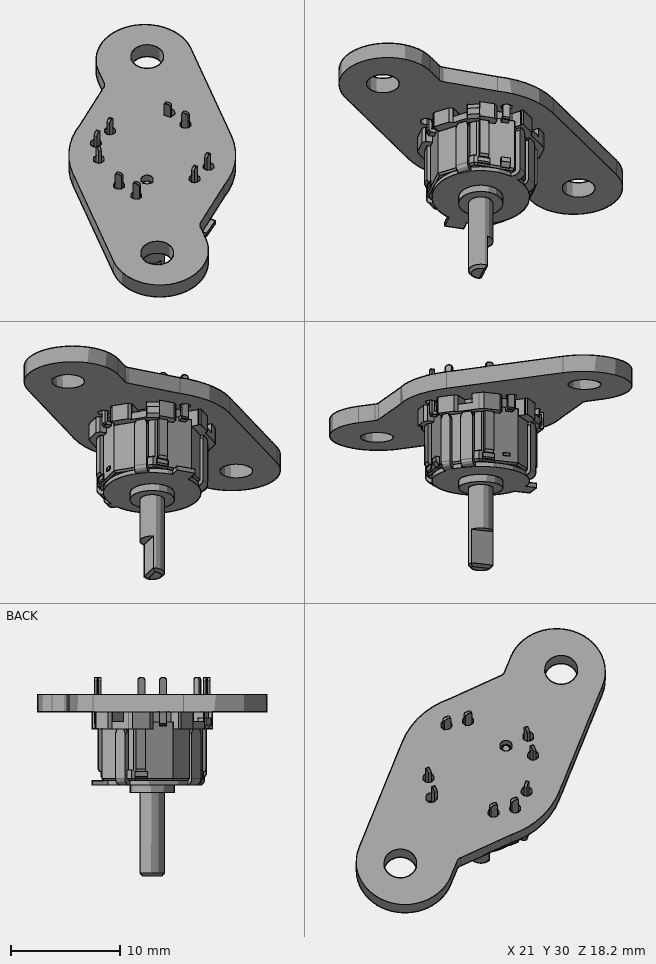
import cadquery as cq
import math


BOARD_WIDTH = 21
BOARD_THICKNESS = 1.6
EAR_X = 6.03
EAR_Y = 10.52
EAR_RADIUS = BOARD_WIDTH / 2 - EAR_X
BOARD_WAIST_RADIUS = (EAR_Y - EAR_X) / math.sqrt(2) + EAR_RADIUS
WAIST_ARC_END_ANGLE = 4
NECK_X = 7.82
NECK_FILLET = 0.6
MOUNT_HOLE_DIAMETER = 3
MOUNT_HOLE_X = 6
MOUNT_HOLE_Y = 10.97
PIN_HOLE_DIAMETER = 1.0
PEG_HOLE_DIAMETER = 1.1

PIN_TOP = 3.15
PIN_WIDTH = 0.65
PIN_THICKNESS = 0.27
PIN_TIP_FILLET = 0.27
PIN_ROOT = -1.3
PIN_ROOT_CHAMFER = 0.2
PIN_ALONG = 1.0
OUTER_PIN_OUT = 5.15
INNER_PIN_OUT = 4.83
GROUND_PIN_ALONG = -1.02
GROUND_PIN_OUT = 4.83
OUTER_HOLE_OUT = 5.28
REAR_HOLE_OUT = 5.5

PEG_X = 1.0
PEG_Y = -3.03
PEG_DIAMETER = 1.0
PEG_HEIGHT = 1.05
PEG_CHAMFER = 0.18

FLANGE_HEIGHT = 1.55
FLANGE_OUT = 5.25
PAD_OUT = 5.52
PAD_START = -1.8
PAD_END = -0.2
PAD_RAMP = 0.27
NOTCH_START = 0.1
NOTCH_END = 2.4
NOTCH_FLOOR_OUT = 4.35
NOTCH_FLOOR_END = 1.75
NOTCH_WALL_OUT = NOTCH_FLOOR_OUT + NOTCH_END - NOTCH_FLOOR_END
WINDOW_START = 0.1
WINDOW_END = 1.5
WINDOW_HEIGHT = 0.87
WINDOW_DEPTH = 1.5

CATCH_ANGLES = (67.5, 247.5)
CATCH_WIDTH = 1.17
CATCH_OUT = 5.58
CATCH_SEAT_OUT = 5.35
CATCH_IN = 4.8
CATCH_TOP = -0.57
CATCH_SLOPE_TOP = -1.23

BODY_OUT = 4.62
BODY_TOP = -0.93
BODY_BOTTOM = -6.3
BODY_CHAMFER = 0.18
BASE_RADIUS = 4.47
BASE_BOTTOM = -6.72

GROOVE_START = 1.38
GROOVE_END = 2.22
GROOVE_FLOOR_OUT = 4.47
GROOVE_BOTTOM = -5.3

STRIP_START = -1.47
STRIP_END = -0.6
STRIP_OUT = 4.95
STRIP_BOTTOM = -5.5
STRIP_TAPER_HEIGHT = 0.27
STRIP_TAPER_DEPTH = 0.12
FOOT_START = -1.55
FOOT_END = -0.42
FOOT_OUT = 4.7
FOOT_TOP = -5.5
FOOT_SLOPE_TOP = -5.9
LATCH_START = 0.6
LATCH_END = 1.47
LATCH_OUT = 4.95
LATCH_TOP = -5.3
LATCH_SLOPE_TOP = -5.75
LATCH_BOTTOM = -6.18
BUMP_START = 0.42
BUMP_END = 1.05
BUMP_OUT = 4.75
BUMP_TOP = -5.3
BUMP_BOTTOM = -5.58
SIDE_TAB_START = 0.1
SIDE_TAB_END = 1.9

STRAP_IN = 3.9
STRAP_BEND_RADIUS = 0.6
STRAP_SHOULDER = 0.35
CLAMP_START = 0.18
CLAMP_END = 1.38
CLAMP_OUT = 4.92
LUG_START = -1.68
LUG_END = -0.8
LUG_OUT = 5.1

BOSS_DIAMETER = 4.05
BOSS_BOTTOM = -7.4
SHAFT_DIAMETER = 2.25
SHAFT_BOTTOM = -15.05
SHAFT_CHAMFER = 0.27
FLAT_TOP = -11.57
FLAT_Y = -0.35

HALF_SIDE_ANGLE = 22.5

STRAIGHT_SIDES = (0, 90, 180, 270)
DIAGONAL_SIDES = (45, 135, 225, 315)
RIGHT_SIDE = 90
REAR_SIDE = 180
LEFT_SIDE = 270
GROUND_SIDE = 315


def turned(shape, angle):
    """Turn a shape made for the front side to another side of the switch."""
    return shape.rotate((0, 0, 0), (0, 0, 1), angle)


def side_point(along, out, angle):
    """Plan position of a point given in the frame of one side."""
    turn = math.radians(angle)
    x = along * math.cos(turn) + out * math.sin(turn)
    y = along * math.sin(turn) - out * math.cos(turn)
    return (x, y)


def cylinder(diameter, bottom, top):
    return cq.Workplane("XY", origin=(0, 0, bottom)).circle(diameter / 2).extrude(top - bottom)


def side_profile(start, end, out_z_points):
    """Extrude an (out, z) profile along the front side, from start to end."""
    points = [(-out, z) for out, z in out_z_points]
    return cq.Workplane("YZ", origin=(start, 0, 0)).polyline(points).close().extrude(end - start)


def side_block(start, end, inner, outer, bottom, top):
    return side_profile(start, end, [(inner, bottom), (outer, bottom), (outer, top), (inner, top)])



def make_flange():
    points = []
    for side in range(8):
        angle = side * 2 * HALF_SIDE_ANGLE
        points.append(side_point(PAD_START, PAD_OUT, angle))
        points.append(side_point(PAD_END, PAD_OUT, angle))
        points.append(side_point(PAD_END + PAD_RAMP, FLANGE_OUT, angle))
        points.append(side_point(FLANGE_OUT * math.tan(math.radians(HALF_SIDE_ANGLE)), FLANGE_OUT, angle))
    flange = cq.Workplane("XY").polyline(points).close().extrude(-FLANGE_HEIGHT)

    clear_out = PAD_OUT + 0.3
    notch_points = [
        (NOTCH_START, -clear_out),
        (NOTCH_START, -NOTCH_FLOOR_OUT),
        (NOTCH_FLOOR_END, -NOTCH_FLOOR_OUT),
        (NOTCH_END, -NOTCH_WALL_OUT),
        (NOTCH_END, -clear_out),
    ]
    notch = cq.Workplane("XY").polyline(notch_points).close().extrude(-FLANGE_HEIGHT)
    for angle in STRAIGHT_SIDES:
        flange = flange.cut(turned(notch, angle))

    window = side_block(
        WINDOW_START, WINDOW_END, FLANGE_OUT - WINDOW_DEPTH, PAD_OUT, -WINDOW_HEIGHT, 0
    )
    for angle in DIAGONAL_SIDES:
        flange = flange.cut(turned(window, angle))

    catch = side_profile(-CATCH_WIDTH / 2, CATCH_WIDTH / 2, [
        (CATCH_IN, CATCH_TOP),
        (CATCH_OUT, CATCH_TOP),
        (CATCH_OUT, CATCH_SLOPE_TOP),
        (CATCH_SEAT_OUT, -FLANGE_HEIGHT),
        (CATCH_IN, -FLANGE_HEIGHT),
    ])
    seat = side_block(
        -CATCH_WIDTH / 2, CATCH_WIDTH / 2, CATCH_SEAT_OUT, clear_out, -FLANGE_HEIGHT, 0
    )
    for angle in CATCH_ANGLES:
        flange = flange.cut(turned(seat, angle))
        flange = flange.union(turned(catch, angle))
    return flange


def make_body():
    """Octagonal body with a groove by each diagonal-side corner, on a round base."""
    corner_diameter = 2 * BODY_OUT / math.cos(math.radians(HALF_SIDE_ANGLE))
    body = (
        cq.Workplane("XY", origin=(0, 0, BODY_BOTTOM))
        .polygon(8, corner_diameter)
        .extrude(BODY_TOP - BODY_BOTTOM)
        .rotate((0, 0, 0), (0, 0, 1), HALF_SIDE_ANGLE)
        .faces("<Z")
        .chamfer(BODY_CHAMFER)
    )
    groove = side_block(
        GROOVE_START, GROOVE_END, GROOVE_FLOOR_OUT, PAD_OUT, GROOVE_BOTTOM, BODY_TOP
    )
    for angle in DIAGONAL_SIDES:
        body = body.cut(turned(groove, angle))
    return body.union(cylinder(2 * BASE_RADIUS, BASE_BOTTOM, BODY_BOTTOM))


def make_side_details():
    """Strip and foot on every straight side, and the single details of some sides."""
    strip = side_profile(STRIP_START, STRIP_END, [
        (BASE_RADIUS, -FLANGE_HEIGHT),
        (STRIP_OUT, -FLANGE_HEIGHT),
        (STRIP_OUT, STRIP_BOTTOM + STRIP_TAPER_HEIGHT),
        (STRIP_OUT - STRIP_TAPER_DEPTH, STRIP_BOTTOM),
        (BASE_RADIUS, STRIP_BOTTOM),
    ])
    foot = side_profile(FOOT_START, FOOT_END, [
        (NOTCH_FLOOR_OUT, FOOT_TOP),
        (FOOT_OUT, FOOT_TOP),
        (FOOT_OUT, FOOT_SLOPE_TOP),
        (BASE_RADIUS, BODY_BOTTOM),
        (NOTCH_FLOOR_OUT, BODY_BOTTOM),
    ])
    details = []
    for angle in STRAIGHT_SIDES:
        details.append(turned(strip, angle))
        details.append(turned(foot, angle))

    latch = side_profile(LATCH_START, LATCH_END, [
        (BASE_RADIUS, LATCH_TOP),
        (LATCH_OUT, LATCH_TOP),
        (LATCH_OUT, LATCH_SLOPE_TOP),
        (BODY_OUT, LATCH_BOTTOM),
        (BASE_RADIUS, LATCH_BOTTOM),
    ])
    details.append(turned(latch, LEFT_SIDE))
    details.append(side_block(BUMP_START, BUMP_END, BASE_RADIUS, BUMP_OUT, BUMP_BOTTOM, BUMP_TOP))
    side_tab = side_block(SIDE_TAB_START, SIDE_TAB_END, STRAP_IN, PAD_OUT, BASE_BOTTOM, BODY_BOTTOM)
    details.append(turned(side_tab, RIGHT_SIDE))
    return details


def make_strap(start, end, out):
    """Flat strap with cut shoulders at the top, rounded in under the body at the bottom."""
    strap = side_block(start, end, STRAP_IN, out, BASE_BOTTOM, -FLANGE_HEIGHT)
    strap = strap.edges("|X and <Z and <Y").fillet(STRAP_BEND_RADIUS)
    return strap.edges("|Y and >Z").chamfer(STRAP_SHOULDER, STRAP_SHOULDER / 2)


def make_pin(along, out):
    height = PIN_TOP - PIN_ROOT
    pin = cq.Workplane("XY").box(PIN_WIDTH, PIN_THICKNESS, height)
    pin = pin.edges("|Y and >Z").fillet(PIN_TIP_FILLET)
    return pin.translate((along, -out, PIN_ROOT + height / 2))


def make_pins():
    """An outer and an inner pin on every straight side, and one ground pin."""
    outer_pin = make_pin(PIN_ALONG, OUTER_PIN_OUT)
    outer_pin = outer_pin.edges("<Y and <Z").chamfer(PIN_ROOT_CHAMFER)
    pin_foot = side_block(
        PIN_ALONG - PIN_WIDTH / 2, PIN_ALONG + PIN_WIDTH / 2,
        NOTCH_FLOOR_OUT, OUTER_PIN_OUT, PIN_ROOT, BODY_TOP,
    )
    outer_pin = outer_pin.union(pin_foot)
    inner_pin = make_pin(-PIN_ALONG, INNER_PIN_OUT)
    pins = []
    for angle in STRAIGHT_SIDES:
        pins.append(turned(outer_pin, angle))
        pins.append(turned(inner_pin, angle))
    ground_pin = make_pin(GROUND_PIN_ALONG, GROUND_PIN_OUT)
    pins.append(turned(ground_pin, GROUND_SIDE))
    return pins


def make_peg():
    peg = cylinder(PEG_DIAMETER, BODY_TOP, PEG_HEIGHT).faces(">Z").chamfer(PEG_CHAMFER)
    return peg.translate((PEG_X, PEG_Y, 0))


def make_shaft():
    """Shaft with a D-shaped end, and the boss it comes out of."""
    shaft = cylinder(SHAFT_DIAMETER, SHAFT_BOTTOM, BASE_BOTTOM)
    flat = side_block(
        -SHAFT_DIAMETER, SHAFT_DIAMETER, -FLAT_Y, SHAFT_DIAMETER, SHAFT_BOTTOM, FLAT_TOP
    )
    shaft = shaft.cut(flat).faces("<Z").chamfer(SHAFT_CHAMFER)
    return shaft.union(cylinder(BOSS_DIAMETER, BOSS_BOTTOM, BASE_BOTTOM))


def make_switch():
    switch = make_body().union(make_flange())
    for detail in make_side_details():
        switch = switch.union(detail)
    clamp = make_strap(CLAMP_START, CLAMP_END, CLAMP_OUT)
    for angle in DIAGONAL_SIDES:
        switch = switch.union(turned(clamp, angle))
    lug = make_strap(LUG_START, LUG_END, LUG_OUT)
    switch = switch.union(turned(lug, GROUND_SIDE))
    for pin in make_pins():
        switch = switch.union(pin)
    return switch.union(make_peg()).union(make_shaft())



def make_board_blank():
    """Two round ears joined by a wider middle, the same after half a turn."""
    diagonal = math.sqrt(0.5)
    reach = EAR_RADIUS * diagonal
    neck_y = NECK_X + EAR_Y - EAR_X - 2 * reach
    waist = BOARD_WAIST_RADIUS * diagonal
    end_angle = math.radians(-WAIST_ARC_END_ANGLE)
    mid_angle = (math.pi / 4 + end_angle) / 2
    mid_x = BOARD_WAIST_RADIUS * math.cos(mid_angle)
    mid_y = BOARD_WAIST_RADIUS * math.sin(mid_angle)
    end_x = BOARD_WAIST_RADIUS * math.cos(end_angle)
    end_y = BOARD_WAIST_RADIUS * math.sin(end_angle)
    ear_left = -EAR_X - reach
    ear_right = -EAR_X + reach
    ear_bottom = EAR_Y - reach
    ear_top = EAR_Y + reach
    outline = cq.Workplane("XY").moveTo(-end_x, -end_y)
    for sign in (1, -1):
        outline = (
            outline
            .lineTo(-sign * NECK_X, sign * neck_y)
            .lineTo(sign * ear_left, sign * ear_bottom)
            .threePointArc((sign * ear_left, sign * ear_top), (sign * ear_right, sign * ear_top))
            .lineTo(sign * waist, sign * waist)
            .threePointArc((sign * mid_x, sign * mid_y), (sign * end_x, sign * end_y))
        )
    board = outline.close().extrude(BOARD_THICKNESS)
    for sign in (1, -1):
        neck = cq.selectors.NearestToPointSelector((-sign * NECK_X, sign * neck_y, BOARD_THICKNESS / 2))
        board = board.edges("|Z").edges(neck).fillet(NECK_FILLET)
    return board


def board_hole(board, x, y, diameter):
    return board.cut(cylinder(diameter, 0, BOARD_THICKNESS).translate((x, y, 0)))


def make_board(switch):
    board = make_board_blank()
    for sign in (1, -1):
        board = board_hole(board, -sign * MOUNT_HOLE_X, sign * MOUNT_HOLE_Y, MOUNT_HOLE_DIAMETER)
    for angle in STRAIGHT_SIDES:
        outer_out = REAR_HOLE_OUT if angle == REAR_SIDE else OUTER_HOLE_OUT
        board = board_hole(board, *side_point(PIN_ALONG, outer_out, angle), PIN_HOLE_DIAMETER)
        board = board_hole(board, *side_point(-PIN_ALONG, INNER_PIN_OUT, angle), PIN_HOLE_DIAMETER)
    ground_x, ground_y = side_point(GROUND_PIN_ALONG, GROUND_PIN_OUT, GROUND_SIDE)
    board = board_hole(board, ground_x, ground_y, PIN_HOLE_DIAMETER)
    board = board_hole(board, PEG_X, PEG_Y, PEG_HOLE_DIAMETER)
    return board.cut(switch)


switch = make_switch()
board = make_board(switch)
result = cq.Compound.makeCompound([board.solids().val(), switch.solids().val()])